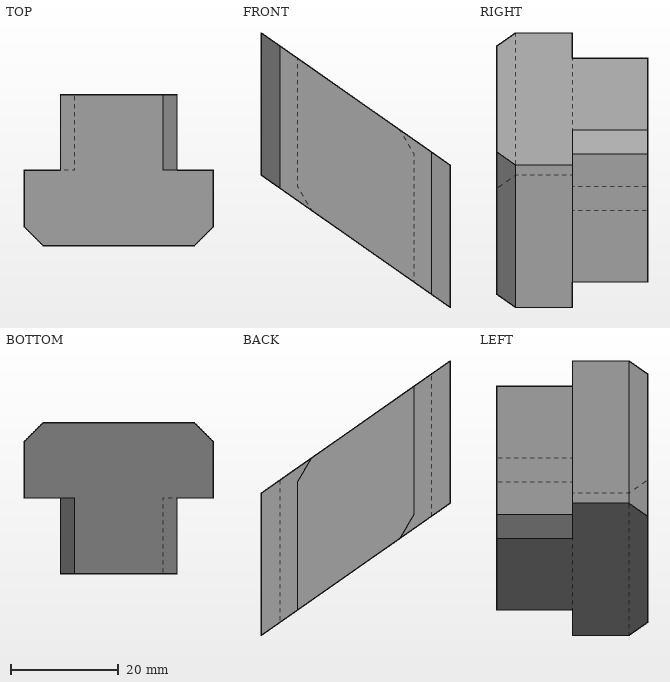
import cadquery as cq
import math

width = 35.0
depth = 28.0
height = 50.9

head_depth = depth / 2
stem_width = 21.55
head_chamfer = 3.5

flat_run = 2.6
flat_rise = 2.65

slope_angle = math.radians(35)
slope = math.tan(slope_angle)
side_height = height - width * slope


def top_z(x):
    """Height of the upper sloping face at x."""
    return side_height / 2 - slope * x


def bottom_z(x):
    """Height of the lower sloping face at x."""
    return -side_height / 2 - slope * x


def extrude_along_y(outline, y_start, y_end):
    """Extrude a closed XZ outline from y_start to y_end."""
    plane = cq.Workplane("XZ", origin=(0, y_end, 0))
    return plane.polyline(outline).close().extrude(y_end - y_start)


def make_head():
    half = width / 2
    front = -depth / 2
    shoulder = front + head_depth
    outline = [
        (-half, top_z(-half)),
        (half, top_z(half)),
        (half, bottom_z(half)),
        (-half, bottom_z(-half)),
    ]
    block = extrude_along_y(outline, front, shoulder)
    plan = [
        (-half, shoulder),
        (-half, front + head_chamfer),
        (-half + head_chamfer, front),
        (half - head_chamfer, front),
        (half, front + head_chamfer),
        (half, shoulder),
    ]
    prism = cq.Workplane("XY").polyline(plan).close().extrude(height / 2, both=True)
    return block.intersect(prism)


def make_stem():
    half = stem_width / 2
    flat_x = half - flat_run
    outline = [
        (-half, top_z(-half)),
        (flat_x, top_z(flat_x)),
        (half, top_z(half) - flat_rise),
        (half, bottom_z(half)),
        (-flat_x, bottom_z(-flat_x)),
        (-half, bottom_z(-half) + flat_rise),
    ]
    return extrude_along_y(outline, -depth / 2 + head_depth, depth / 2)


result = make_head().union(make_stem())